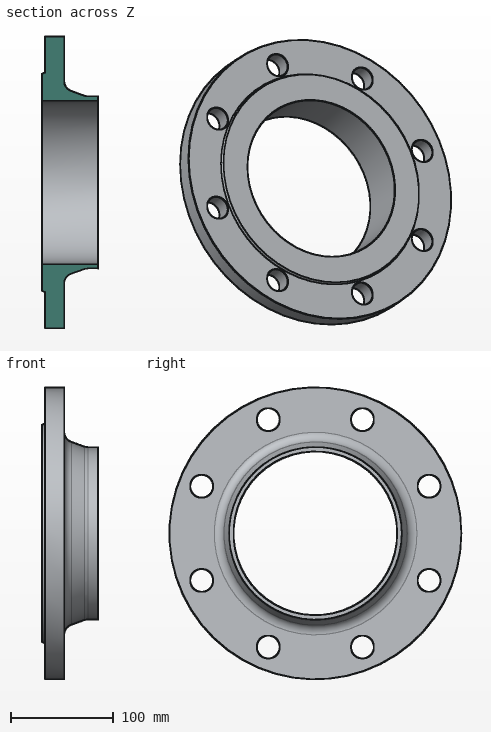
import cadquery as cq
import math

total_length = 55.0
flange_diameter = 285.0
bore_diameter = 159.3
flange_back = 22.0

raised_face_diameter = 212.0
raised_face_height = 3.0
raised_face_bevel = 1.3

edge_chamfer = 0.5

neck_diameter = 168.3
neck_end_length = 12.0
cone_angle = 20.0
neck_fillet = 10.0

bolt_count = 8
bolt_hole_diameter = 22.0
bolt_circle_diameter = 240.0


def make_profile():
    """Half section in the XY plane, Y being the radius."""
    flange_radius = flange_diameter / 2
    neck_radius = neck_diameter / 2
    bore_radius = bore_diameter / 2
    face_radius = raised_face_diameter / 2
    cone_end = total_length - neck_end_length
    cone_rise = (cone_end - flange_back) * math.tan(math.radians(cone_angle))
    return (
        cq.Workplane("XY")
        .moveTo(edge_chamfer, bore_radius)
        .lineTo(0, bore_radius + edge_chamfer)
        .lineTo(0, face_radius)
        .lineTo(raised_face_height, face_radius + raised_face_bevel)
        .lineTo(raised_face_height, flange_radius - edge_chamfer)
        .lineTo(raised_face_height + edge_chamfer, flange_radius)
        .lineTo(flange_back, flange_radius)
        .lineTo(flange_back, neck_radius + cone_rise)
        .lineTo(cone_end, neck_radius)
        .lineTo(total_length, neck_radius)
        .lineTo(total_length, bore_radius)
        .close()
    )


def make_body():
    """Revolve the half section and round both ends of the neck cone."""
    body = make_profile().revolve(360, (0, 0, 0), (1, 0, 0))
    cone_edges = body.faces("%CONE").faces(">X").edges("%CIRCLE")
    return cone_edges.fillet(neck_fillet)


def make_bolt_hole_cutter():
    """Through hole with a chamfered front edge, at the top of the bolt circle."""
    hole_radius = bolt_hole_diameter / 2
    return (
        cq.Workplane("XY")
        .moveTo(raised_face_height, 0)
        .lineTo(raised_face_height, hole_radius + edge_chamfer)
        .lineTo(raised_face_height + edge_chamfer, hole_radius)
        .lineTo(flange_back, hole_radius)
        .lineTo(flange_back, 0)
        .close()
        .revolve(360, (0, 0, 0), (1, 0, 0))
        .translate((0, 0, bolt_circle_diameter / 2))
    )


def cut_bolt_holes(body):
    """Cut the bolt holes, the first one half a pitch from the Z axis."""
    pitch = 360 / bolt_count
    cutter = make_bolt_hole_cutter()
    for index in range(bolt_count):
        angle = pitch * (index + 0.5)
        body = body.cut(cutter.rotate((0, 0, 0), (1, 0, 0), angle))
    return body


result = cut_bolt_holes(make_body())